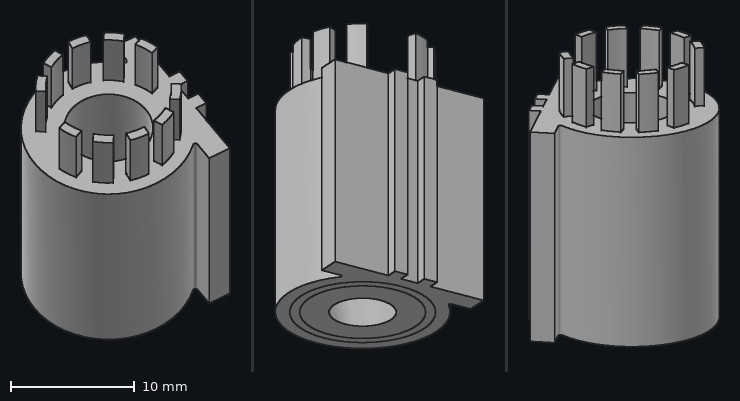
import cadquery as cq
import math

TOTAL_HEIGHT = 23.0
HOUSING_HEIGHT = 18.0

HOUSING_DIAMETER = 14.17
BORE_DIAMETER = 7.2
BORE_BOTTOM_DIAMETER = 5.43
BORE_CONE_HEIGHT = 3.45

PLATE_TILT = 7.0
PLATE_WIDTH = 14.21
PLATE_THICKNESS = 2.0
PLATE_BACK = 7.13
PLATE_CORNER_RADIUS = 0.18
KEY_WIDTH = 1.22
KEY_HEIGHT = 1.0
KEY_PITCH = 2.8

CROWN_OUTER_DIAMETER = 11.8
CROWN_INNER_DIAMETER = 10.2
CROWN_RING_HEIGHT = 2.0
TINE_WIDTH = 1.65
TINE_SPACING = 30
TINE_GAP_ANGLES = (90, 270)
TINE_ANGLES = [angle for angle in range(0, 360, TINE_SPACING) if angle not in TINE_GAP_ANGLES]


def make_crown():
    """Ring at the bottom of the housing with tines that rise through its top."""
    tube = (
        cq.Workplane("XY")
        .circle(CROWN_OUTER_DIAMETER / 2)
        .circle(CROWN_INNER_DIAMETER / 2)
        .extrude(TOTAL_HEIGHT)
    )

    ring_mean_radius = (CROWN_OUTER_DIAMETER + CROWN_INNER_DIAMETER) / 4
    blank_length = CROWN_OUTER_DIAMETER - CROWN_INNER_DIAMETER
    kept = cq.Workplane("XY").circle(CROWN_OUTER_DIAMETER).extrude(CROWN_RING_HEIGHT)
    for angle in TINE_ANGLES:
        blank = (
            cq.Workplane("XY")
            .center(ring_mean_radius, 0)
            .rect(blank_length, TINE_WIDTH)
            .extrude(TOTAL_HEIGHT)
            .rotate((0, 0, 0), (0, 0, 1), angle)
        )
        kept = kept.union(blank)
    return tube.intersect(kept)


def make_plate():
    """Tilted flat plate with two key ribs on its back face."""
    plate = (
        cq.Workplane("XY")
        .center(0, PLATE_BACK - PLATE_THICKNESS / 2)
        .rect(PLATE_WIDTH, PLATE_THICKNESS)
        .extrude(HOUSING_HEIGHT)
    )
    keys = (
        cq.Workplane("XY")
        .pushPoints([(side * KEY_PITCH / 2, PLATE_BACK) for side in (-1, 1)])
        .rect(KEY_WIDTH, 2 * KEY_HEIGHT)
        .extrude(HOUSING_HEIGHT)
    )
    return plate.union(keys)


def make_housing(crown):
    """Round housing with the plate, the coned bore and a seat for the crown."""
    housing = cq.Workplane("XY").circle(HOUSING_DIAMETER / 2).extrude(HOUSING_HEIGHT)
    housing = housing.union(make_plate())

    corner_y = PLATE_BACK - PLATE_THICKNESS
    corner_x = math.sqrt((HOUSING_DIAMETER / 2) ** 2 - corner_y ** 2)
    for side in (-1, 1):
        corner_point = (side * corner_x, corner_y, HOUSING_HEIGHT / 2)
        corner = cq.selectors.NearestToPointSelector(corner_point)
        housing = housing.edges("|Z").edges(corner).fillet(PLATE_CORNER_RADIUS)
    housing = housing.rotate((0, 0, 0), (0, 0, 1), PLATE_TILT)

    bore_cone = (
        cq.Workplane("XY")
        .circle(BORE_BOTTOM_DIAMETER / 2)
        .workplane(offset=BORE_CONE_HEIGHT)
        .circle(BORE_DIAMETER / 2)
        .loft(ruled=True)
    )
    straight_length = HOUSING_HEIGHT - BORE_CONE_HEIGHT
    bore = bore_cone.faces(">Z").workplane().circle(BORE_DIAMETER / 2).extrude(straight_length)
    return housing.cut(bore).cut(crown)


crown = make_crown()
housing = make_housing(crown)
result = cq.Compound.makeCompound([housing.val(), crown.val()])